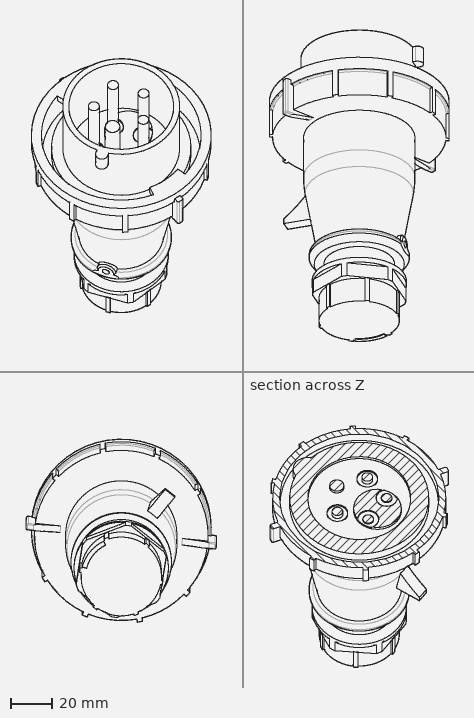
import cadquery as cq
import math


nut_base_z = 0.5
nut_hex_bottom_z = 13.1
nut_hex_top_z = 20.2
nut_top_z = 22.8
bead_bottom_z = 32.0
bead_edge_z = 35.5
bead_top_z = 38.5
eyelet_z = 38.7
taper_top_z = 71.4
grip_bottom_z = 80.2
ring_bottom_z = 102.2
ring_floor_z = 105.9
flange_top_z = 111.7
ring_rim_z = 116.0
lug_bottom_z = 118.3
ring_top_z = 122.3
shroud_top_z = 146.1
earth_pin_top_z = 147.1

shroud_radius = 28.2
shroud_mouth_radius = 25.3
shroud_floor_radius = 24.7
shroud_floor_z = 109.5
flange_radius = 33.7
flange_ear_radius = 7.0
flange_ear_y = -30.5
key_width = 6.0
key_reach = 32.7
key_height = 8.4
pin_count = 5
pin_circle_radius = 13.2
pin_radius = 2.6
earth_pin_radius = 3.5
earth_pin_angle = -90
pin_recess_radius = 5.0
pin_recess_depth = 0.9
boss_radius = 11.6
boss_y = 10.7
boss_height = 2 * pin_recess_depth

ring_radius = 87.0 / 2
ring_wall_radius = 42.0
ring_bore_top_radius = 38.5
ring_bore_floor_radius = 38.3
ring_rim_fillet = 0.7
grip_rib_count = 10
grip_rib_width = 2.6
tab_angle = 147.1
tab_angles = [tab_angle, tab_angle - 180]
tab_width = 3.2
tab_reach = 46.2
tab_edge_fillet = 0.9
tab_end_fillet = 0.6
tab_top_z = lug_bottom_z
tab_bottom_z = 99.6
tab_heel_radius = 42.7
tab_toe_radius = 29.5
tab_root_radius = 41.2
lug_inner_radius = 34.0
lug_span = 29.5

grip_radius = 26.9
taper_top_radius = 26.2
taper_bottom_radius = 20.5
bead_radius = 24.3
bead_bottom_radius = 21.8
bead_round = 1.9
neck_radius = 17.0
eyelet_radius = 4.7
eyelet_face_y = -23.4
eyelet_root_y = -17.7
eyelet_chamfer = 0.9
eyelet_hole_radius = 1.8
eyelet_hole_depth = 2.2
latch_width = 6.0
latch_tip_y = 37.5
latch_bottom_z = 59.7
latch_tip_z = 62.4
latch_top_y = 26.0
latch_top_z = 73.7
latch_root_y = 22.0
latch_hollow = 0.5

nut_flange_radius = 45.6 / 2
nut_sides = 6
nut_across_flats = 40.9
nut_body_radius = 19.4
nut_rib_count = 6
nut_rib_radius = 40.5 / 2
nut_rib_start_angle = 30
nut_rib_width = 2.2
marking_inner_radius = 17.2
marking_half_angle = 25


def disc(radius, bottom, top, x=0.0, y=0.0):
    """Upright cylinder between two levels."""
    return cq.Workplane("XY", origin=(x, y, bottom)).circle(radius).extrude(top - bottom)


def polar(radius, angle):
    """Point at a radius and an angle in degrees."""
    turn = math.radians(angle)
    return (radius * math.cos(turn), radius * math.sin(turn))


def radial_bar(inner, outer, width, bottom, top, angle):
    """Upright bar that runs outward along the direction of an angle."""
    bar = cq.Workplane("XY").box(outer - inner, width, top - bottom, centered=(False, True, False))
    return bar.translate((inner, 0, bottom)).rotate((0, 0, 0), (0, 0, 1), angle)


def ring_sector(inner, outer, bottom, top, middle_angle, span):
    """Piece of an annulus centred on an angle."""
    start = middle_angle - span / 2
    end = middle_angle + span / 2
    return (
        cq.Workplane("XY", origin=(0, 0, bottom))
        .moveTo(*polar(inner, start))
        .lineTo(*polar(outer, start))
        .threePointArc(polar(outer, middle_angle), polar(outer, end))
        .lineTo(*polar(inner, end))
        .threePointArc(polar(inner, middle_angle), polar(inner, start))
        .close()
        .extrude(top - bottom)
    )


def make_key():
    key_round = key_width / 2
    bottom = shroud_top_z - key_height
    root = (shroud_mouth_radius + shroud_radius) / 2
    stem = radial_bar(root, key_reach - key_round, key_width, bottom, shroud_top_z, -90)
    return stem.union(disc(key_round, bottom, shroud_top_z, y=key_round - key_reach))


def make_cavity():
    """Slightly tapered socket, wider at its mouth."""
    return (
        cq.Workplane("XZ")
        .moveTo(0, shroud_floor_z)
        .lineTo(shroud_floor_radius, shroud_floor_z)
        .lineTo(shroud_mouth_radius, shroud_top_z)
        .lineTo(0, shroud_top_z)
        .close()
        .revolve(360, (0, 0, 0), (0, 1, 0))
    )


def make_insert():
    insert = disc(flange_radius, ring_floor_z, flange_top_z)
    insert = insert.union(disc(flange_ear_radius, ring_floor_z, flange_top_z, y=flange_ear_y))
    insert = insert.union(disc(shroud_radius, ring_floor_z, shroud_top_z))
    insert = insert.cut(make_cavity())
    insert = insert.union(make_key())
    boss_top_z = shroud_floor_z + boss_height
    insert = insert.union(disc(boss_radius, shroud_floor_z, boss_top_z, y=boss_y))
    for index in range(pin_count):
        x, y = polar(pin_circle_radius, earth_pin_angle + index * 360 / pin_count)
        if index == 0:
            insert = insert.union(disc(earth_pin_radius, shroud_floor_z, earth_pin_top_z, x, y))
            continue
        surface_z = boss_top_z if y > 0 else shroud_floor_z
        recess_z = surface_z - pin_recess_depth
        insert = insert.cut(disc(pin_recess_radius, recess_z, boss_top_z, x, y))
        insert = insert.union(disc(pin_radius, recess_z, shroud_top_z, x, y))
    return insert


def make_ring_bore():
    return (
        cq.Workplane("XZ")
        .moveTo(0, ring_floor_z)
        .lineTo(ring_bore_floor_radius, ring_floor_z)
        .lineTo(ring_bore_top_radius, ring_top_z)
        .lineTo(0, ring_top_z)
        .close()
        .revolve(360, (0, 0, 0), (0, 1, 0))
    )


def make_tab(angle):
    """Grip tab with rounded outer edges and an underside rising toward the handle."""
    tab = (
        cq.Workplane("XZ")
        .moveTo(tab_toe_radius, ring_bottom_z)
        .lineTo(tab_heel_radius, tab_bottom_z)
        .lineTo(tab_reach, tab_bottom_z)
        .lineTo(tab_reach, tab_top_z)
        .lineTo(tab_root_radius, tab_top_z)
        .lineTo(tab_root_radius, ring_bottom_z)
        .close()
        .extrude(tab_width / 2, both=True)
    )
    tab = tab.edges("|Z and >X").fillet(tab_edge_fillet)
    tab = tab.faces("<Z").edges(">X").fillet(tab_end_fillet)
    return tab.rotate((0, 0, 0), (0, 0, 1), angle)


def make_ring():
    ring = disc(ring_wall_radius, ring_bottom_z, ring_rim_z)
    ring = ring.union(disc(ring_radius, ring_rim_z, ring_top_z))
    rim_edges = ring.faces("<Z[1]").edges(cq.selectors.RadiusNthSelector(0))
    ring = rim_edges.fillet(ring_rim_fillet)
    mid_wall_radius = (ring_bore_top_radius + ring_wall_radius) / 2
    for index in range(grip_rib_count):
        angle = tab_angle + index * 360 / grip_rib_count
        rib = radial_bar(mid_wall_radius, ring_radius, grip_rib_width, ring_bottom_z, ring_rim_z, angle)
        ring = ring.union(rib.intersect(disc(ring_radius, ring_bottom_z, ring_rim_z)))
    ring = ring.cut(make_ring_bore())
    ring = ring.cut(disc(grip_radius, ring_bottom_z, ring_floor_z))
    for angle in tab_angles:
        lug = ring_sector(lug_inner_radius, mid_wall_radius, lug_bottom_z, ring_top_z, angle, lug_span)
        ring = ring.union(lug)
        ring = ring.union(make_tab(angle))
    return ring


def make_handle_core():
    return (
        cq.Workplane("XZ")
        .moveTo(0, nut_top_z)
        .lineTo(neck_radius, nut_top_z)
        .lineTo(neck_radius, bead_bottom_z)
        .lineTo(bead_bottom_radius, bead_bottom_z)
        .lineTo(bead_radius, bead_edge_z)
        .lineTo(bead_radius, bead_top_z - bead_round)
        .radiusArc((bead_radius - bead_round, bead_top_z), -bead_round)
        .lineTo(taper_bottom_radius, bead_top_z)
        .lineTo(taper_top_radius, taper_top_z)
        .tangentArcPoint((grip_radius, grip_bottom_z), relative=False)
        .lineTo(grip_radius, ring_floor_z)
        .lineTo(0, ring_floor_z)
        .close()
        .revolve(360, (0, 0, 0), (0, 1, 0))
    )


def make_eyelet():
    """Round-topped lug facing -Y, its front face flush with the flat on the bead."""
    face = cq.Workplane("XZ", origin=(0, eyelet_face_y, 0))
    depth = eyelet_root_y - eyelet_face_y
    dome = face.center(0, eyelet_z).circle(eyelet_radius).extrude(-depth)
    return dome.faces("<Y").chamfer(eyelet_chamfer)


def make_latch():
    return (
        cq.Workplane("YZ")
        .moveTo(latch_root_y, latch_bottom_z)
        .lineTo(latch_tip_y, latch_bottom_z)
        .lineTo(latch_tip_y, latch_tip_z)
        .sagittaArc((latch_top_y, latch_top_z), latch_hollow)
        .lineTo(latch_root_y, latch_top_z)
        .close()
        .extrude(latch_width / 2, both=True)
    )


def make_handle():
    handle = make_handle_core()
    bead_height = bead_top_z - bead_bottom_z
    flat_cutter = cq.Workplane("XY").box(
        2 * bead_radius, bead_radius, bead_height, centered=(True, False, False)
    )
    handle = handle.cut(flat_cutter.translate((0, eyelet_face_y - bead_radius, bead_bottom_z)))
    handle = handle.union(make_eyelet())
    hole = cq.Workplane("XZ", origin=(0, eyelet_face_y, 0)).center(0, eyelet_z)
    handle = handle.cut(hole.circle(eyelet_hole_radius).extrude(-eyelet_hole_depth))
    return handle.union(make_latch())


def make_nut():
    nut = disc(nut_flange_radius, nut_hex_top_z, nut_top_z)
    across_corners = nut_across_flats / math.cos(math.pi / nut_sides)
    hexagon = (
        cq.Workplane("XY", origin=(0, 0, nut_hex_bottom_z))
        .polygon(nut_sides, across_corners)
        .extrude(nut_hex_top_z - nut_hex_bottom_z)
    )
    nut = nut.union(hexagon.intersect(disc(nut_flange_radius, nut_hex_bottom_z, nut_hex_top_z)))
    nut = nut.union(disc(nut_body_radius, nut_base_z, nut_hex_bottom_z))
    for index in range(nut_rib_count):
        angle = nut_rib_start_angle + index * 360 / nut_rib_count
        rib = radial_bar(
            marking_inner_radius, nut_rib_radius, nut_rib_width, nut_base_z, nut_hex_bottom_z, angle
        )
        nut = nut.union(rib)
    marking = ring_sector(
        marking_inner_radius, nut_body_radius, 0, nut_base_z, 0, 2 * marking_half_angle
    )
    return nut.union(marking)


insert = make_insert()
ring = make_ring()
handle = make_handle()
nut = make_nut()

result = cq.Compound.makeCompound([insert.val(), ring.val(), handle.val(), nut.val()])